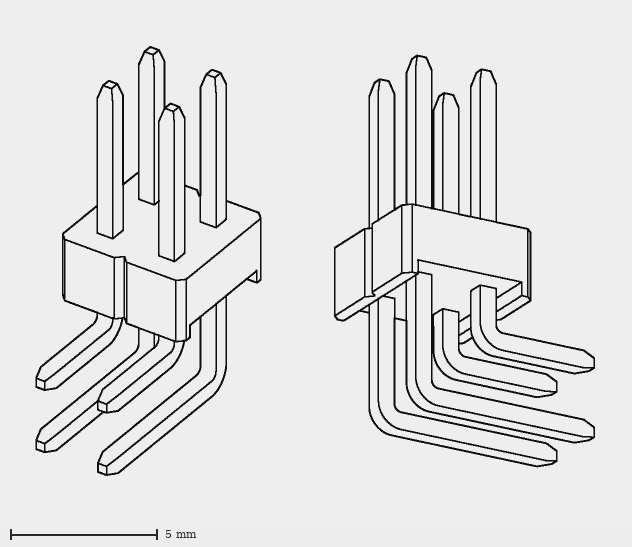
import cadquery as cq
import math


pitch = 2.54
columns = 2
rows = 2

body_length = columns * pitch
body_width = rows * pitch
body_height = 2.5
corner_chamfer = 0.25
foot_height = 0.5
foot_thickness = 0.5

pin_thickness = 0.64
tip_length = 0.5
tip_flat = 0.36
pin_rise = 6.0
pin_reach = 3.0
front_pin_drop = 1.4
inner_bend_radius = 0.25

axis_bend_radius = inner_bend_radius + pin_thickness / 2
tip_taper = math.degrees(math.atan((pin_thickness - tip_flat) / 2 / tip_length))
pin_top = body_height + pin_rise
tail_end = -body_width / 2 - pin_reach


def body_cell(x):
    """One column of the body: a block with its four upright edges chamfered."""
    return (
        cq.Workplane("XY")
        .center(x, 0)
        .rect(pitch, body_width)
        .extrude(body_height)
        .edges("|Z")
        .chamfer(corner_chamfer)
    )


def underside_channel():
    """Channel along X that leaves a foot under the front and rear faces."""
    channel_width = body_width - 2 * foot_thickness
    return cq.Workplane("XY").rect(body_length, channel_width).extrude(foot_height)


def pin_tip(base_plane):
    """Four-sided taper rising from the end of a pin."""
    return (
        cq.Workplane(base_plane)
        .rect(pin_thickness, pin_thickness)
        .extrude(tip_length, taper=tip_taper)
    )


def bent_pin(x, y, tail_z):
    """Square pin going down through the body and bending forward at tail_z."""
    shank_top = pin_top - tip_length
    tail_front = tail_end + tip_length
    arc_inset = axis_bend_radius * (1 - math.sqrt(0.5))

    axis = (
        cq.Workplane("YZ", origin=(x, 0, 0))
        .moveTo(y, shank_top)
        .lineTo(y, tail_z + axis_bend_radius)
        .threePointArc((y - arc_inset, tail_z + arc_inset), (y - axis_bend_radius, tail_z))
        .lineTo(tail_front, tail_z)
    )
    top_plane = cq.Plane(origin=(x, y, shank_top), xDir=(1, 0, 0), normal=(0, 0, 1))
    front_plane = cq.Plane(origin=(x, tail_front, tail_z), xDir=(1, 0, 0), normal=(0, -1, 0))
    shank = cq.Workplane(top_plane).rect(pin_thickness, pin_thickness).sweep(axis)
    return shank.union(pin_tip(top_plane)).union(pin_tip(front_plane))


column_places = [(column - (columns - 1) / 2) * pitch for column in range(columns)]

result = body_cell(column_places[0])
for column_x in column_places[1:]:
    result = result.union(body_cell(column_x))
result = result.cut(underside_channel())

for column_x in column_places:
    for row in range(rows):
        row_y = (row - (rows - 1) / 2) * pitch
        row_tail_z = -front_pin_drop - row * pitch
        result = result.union(bent_pin(column_x, row_y, row_tail_z))